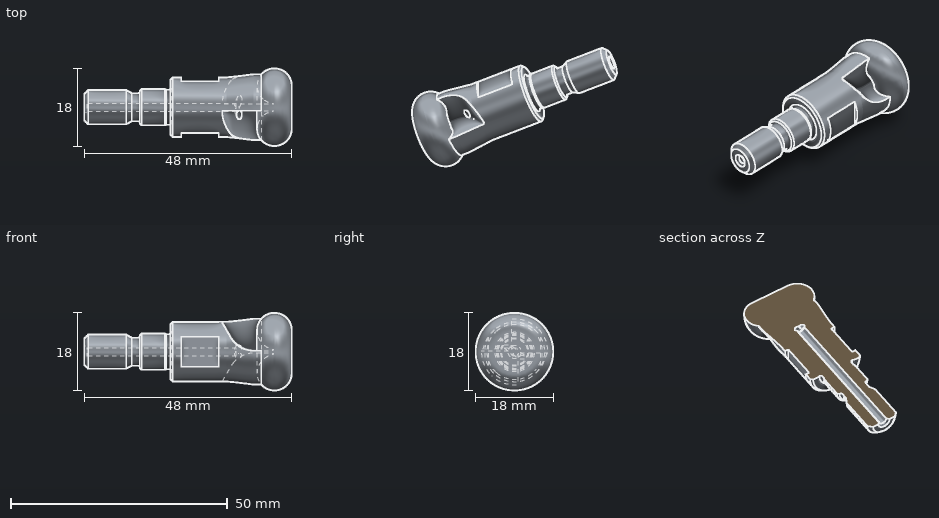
import cadquery as cq
import math

length = 48.0
knob_radius = 9.0
knob_rim_radius = 4.05

tip_radius = 4.0
tip_chamfer = 0.95
tip_end = 9.7
neck_radius = 3.25
neck_start = 11.05
collar_start = 12.85
collar_radius = 4.2
collar_chamfer = 0.45
neck_fillet = 0.3
relief_start = 18.6
relief_radius = 4.1
relief_taper = 0.4

body_start = 19.95
body_radius = 6.9
body_chamfer = 0.55
undercut_depth = 0.2
undercut_fillet = 0.5
undercut_outer_radius = 5.2
flare_start = 32.85
flare_end = 39.1
flare_radius = 7.65

flat_start = 22.45
flat_end = 31.05
flat_distance = 6.0

notch_floor = 0.25
notch_wall = 0.75
notch_arc_radius = 6.0
notch_slope = math.radians(60)
notch_fillet = 0.45

bore_radius = 0.95
bore_mouth_radius = 1.55
bore_end = 35.05
side_hole_radius = 0.7
side_hole_exit_x = 35.85
side_hole_exit_y = -1.75
side_hole_exit_z = 1.25

knob_center_x = length - knob_rim_radius
knob_face_radius = knob_radius - knob_rim_radius
knob_start = knob_center_x - knob_rim_radius


def make_shaft_and_body():
    undercut_x = body_start + undercut_depth
    undercut_mid_x = undercut_x - undercut_fillet * (1 - math.sin(math.pi / 4))
    undercut_mid_radius = relief_radius + undercut_fillet * (1 - math.cos(math.pi / 4))
    neck_mid_x = collar_start - neck_fillet * (1 - math.sin(math.pi / 4))
    neck_mid_radius = neck_radius + neck_fillet * (1 - math.cos(math.pi / 4))
    profile = (
        cq.Workplane("XY")
        .moveTo(0, 0)
        .lineTo(0, tip_radius - tip_chamfer)
        .lineTo(tip_chamfer, tip_radius)
        .lineTo(tip_end, tip_radius)
        .lineTo(neck_start, neck_radius)
        .lineTo(collar_start - neck_fillet, neck_radius)
        .threePointArc((neck_mid_x, neck_mid_radius), (collar_start, neck_radius + neck_fillet))
        .lineTo(collar_start, collar_radius - collar_chamfer)
        .lineTo(collar_start + collar_chamfer, collar_radius)
        .lineTo(relief_start, collar_radius)
        .lineTo(relief_start + relief_taper, relief_radius)
        .lineTo(undercut_x - undercut_fillet, relief_radius)
        .threePointArc((undercut_mid_x, undercut_mid_radius), (undercut_x, relief_radius + undercut_fillet))
        .lineTo(body_start, undercut_outer_radius)
        .lineTo(body_start, body_radius - body_chamfer)
        .lineTo(body_start + body_chamfer, body_radius)
        .lineTo(flare_start, body_radius)
        .lineTo(flare_end, flare_radius)
        .lineTo(knob_center_x, flare_radius)
        .lineTo(knob_center_x, 0)
        .close()
    )
    return profile.revolve(360, (0, 0, 0), (1, 0, 0))


def make_knob():
    """Disc with a round rim; its inner side is a ring that curves away towards the axis."""
    rim_mid_x = knob_center_x + knob_rim_radius * math.cos(math.pi / 4)
    rim_mid_radius = knob_face_radius + knob_rim_radius * math.sin(math.pi / 4)
    profile = (
        cq.Workplane("XY")
        .moveTo(knob_center_x, 0)
        .lineTo(knob_center_x, knob_face_radius - knob_rim_radius)
        .threePointArc((knob_start, knob_face_radius), (knob_center_x, knob_radius))
        .threePointArc((rim_mid_x, rim_mid_radius), (length, knob_face_radius))
        .lineTo(length, 0)
        .close()
    )
    return profile.revolve(360, (0, 0, 0), (1, 0, 0))


def make_flat(side):
    flat_length = flat_end - flat_start
    return (
        cq.Workplane("XY")
        .box(flat_length, body_radius, 2 * body_radius, centered=(False, True, True))
        .translate((flat_start, side * (flat_distance + body_radius / 2), 0))
    )


def make_notch():
    """Quarter cut on the -Y, +Z side: a sloping floor that curves out level beside the knob."""
    arc_center_z = notch_floor + notch_arc_radius

    def arc_point(angle):
        x = flare_end - notch_arc_radius * math.sin(angle)
        z = arc_center_z - notch_arc_radius * math.cos(angle)
        return (x, z)

    slope_x, slope_z = arc_point(notch_slope)
    top_x = slope_x - (knob_radius - slope_z) / math.tan(notch_slope)
    cutter = (
        cq.Workplane("XZ", origin=(0, -notch_wall, 0))
        .moveTo(top_x, knob_radius)
        .lineTo(slope_x, slope_z)
        .threePointArc(arc_point(notch_slope / 2), (flare_end, notch_floor))
        .lineTo(knob_center_x, notch_floor)
        .lineTo(knob_center_x, knob_radius)
        .close()
        .extrude(knob_radius)
    )
    arc_x, arc_z = arc_point(notch_slope / 2)
    arc_point_on_wall = (arc_x, -notch_wall, arc_z)
    cutter = cutter.edges(cq.selectors.NearestToPointSelector(arc_point_on_wall)).fillet(notch_fillet)
    return cutter


def make_bore():
    mouth_depth = bore_mouth_radius - bore_radius
    profile = (
        cq.Workplane("XY")
        .moveTo(0, 0)
        .lineTo(0, bore_mouth_radius)
        .lineTo(mouth_depth, bore_radius)
        .lineTo(bore_end, bore_radius)
        .lineTo(bore_end, 0)
        .close()
    )
    return profile.revolve(360, (0, 0, 0), (1, 0, 0))


def make_side_hole():
    """Slanted hole from the end of the bore up through the notch floor."""
    direction = cq.Vector(side_hole_exit_x - bore_end, side_hole_exit_y, side_hole_exit_z)
    return cq.Workplane(
        cq.Solid.makeCylinder(
            side_hole_radius, 2 * direction.Length, cq.Vector(bore_end, 0, 0), direction
        )
    )


result = make_shaft_and_body()
for side in (-1, 1):
    result = result.cut(make_flat(side))

notch = make_notch()
for turn in (0, 180):
    result = result.cut(notch.rotate((0, 0, 0), (1, 0, 0), turn))

result = result.union(make_knob())
result = result.cut(make_bore())
side_hole = make_side_hole()
for turn in (0, 180):
    result = result.cut(side_hole.rotate((0, 0, 0), (1, 0, 0), turn))